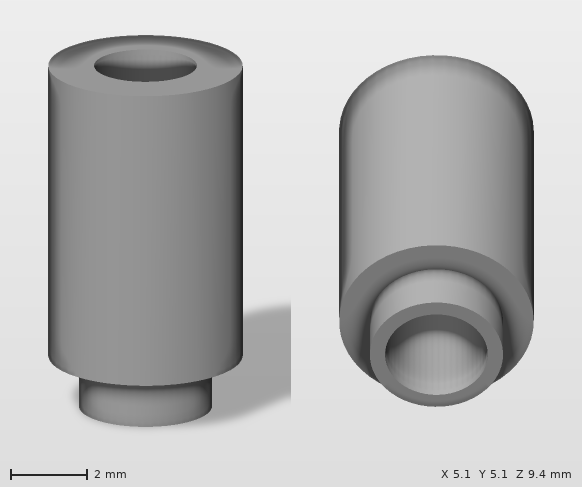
import cadquery as cq

total_height = 9.4
spigot_height = 1.4
body_diameter = 5.1
spigot_diameter = 3.5
bore_diameter = 2.7

body_height = total_height - spigot_height

spigot = cq.Workplane("XY").circle(spigot_diameter / 2).extrude(spigot_height)

spacer = spigot.faces(">Z").workplane().circle(body_diameter / 2).extrude(body_height)

result = spacer.faces(">Z").workplane().hole(bore_diameter)